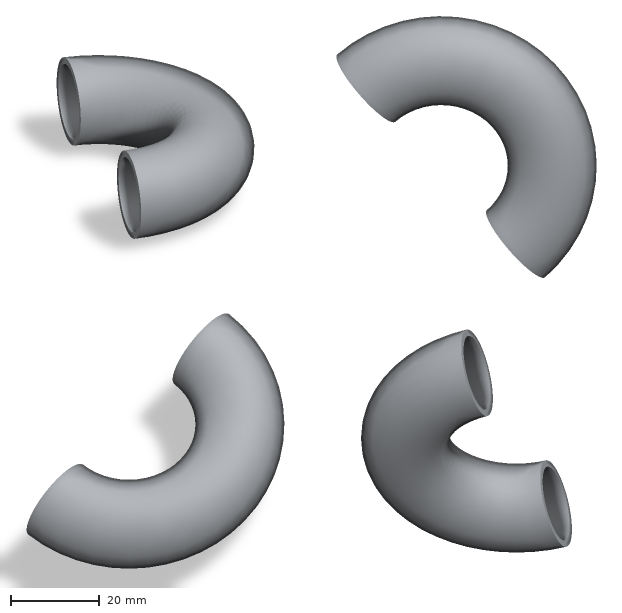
import cadquery as cq

overall_width = 70.0
tube_diameter = 20.0
wall_thickness = 1.5
bend_angle = 180.0

tube_radius = tube_diameter / 2
bore_radius = tube_radius - wall_thickness
bend_radius = overall_width / 2 - tube_radius

tube_section = (
    cq.Workplane("XZ")
    .center(bend_radius, 0)
    .circle(tube_radius)
    .circle(bore_radius)
)

axis_start = (-bend_radius, 0)
axis_end = (-bend_radius, 1)
result = tube_section.revolve(bend_angle, axis_start, axis_end)